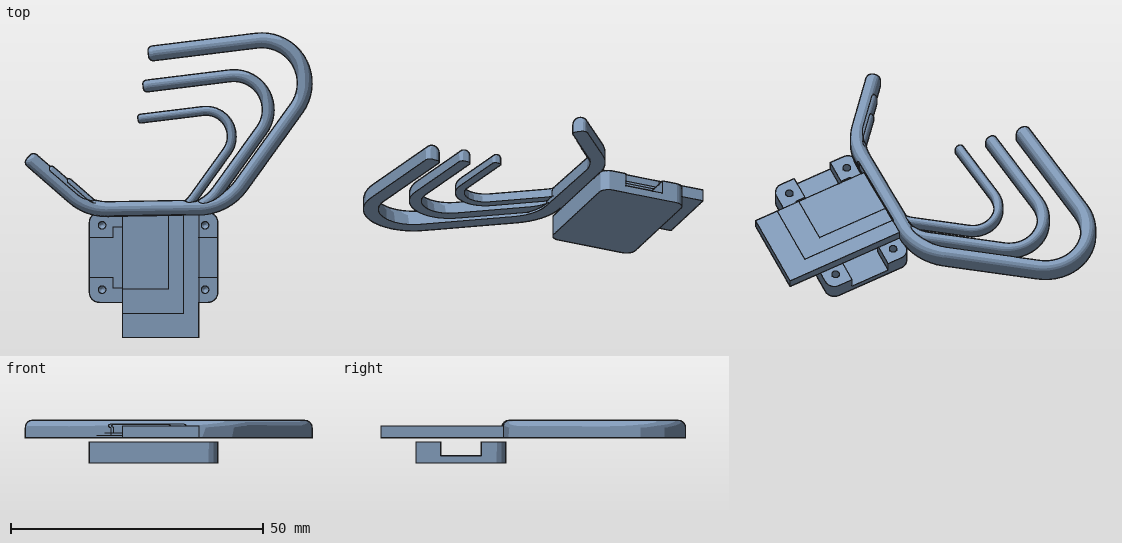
import cadquery as cq
import math


HOOK_SCALES = [1.0, 0.8, 0.6]
PLATE_WIDTH = 15.2
PLATE_LENGTH = 24.0
PLATE_THICKNESS = 2.4
ROD_WIDTH = 3.0
ROD_HEIGHT = 3.5
ROD_RADIUS = ROD_WIDTH / 2
ROD_END_FILLET = 1.0

ARM_DIRECTION = -41.0
ARM_LENGTH = 12.0
ARM_BEND_RADIUS = 10.0
STRAIGHT_DIRECTION = 1.0
STRAIGHT_START_X = -2.87
LOWER_BEND_RADIUS = 10.5
DIAGONAL_DIRECTION = 54.3
DIAGONAL_LENGTH = 18.87
UPPER_BEND_RADIUS = 8.5
FINGER_DIRECTION = 187.0
FINGER_LENGTH = 21.65

BASE_LENGTH = 25.5
BASE_WIDTH = 17.85
BASE_HEIGHT = 4.2
BASE_CORNER_RADIUS = 2.0
BASE_CENTRE_X = 6.2
BASE_CENTRE_Y = -8.12
BASE_GAP = 0.8
FLOOR_THICKNESS = 1.5
SLOT_WIDTH = 8.0
POCKET_LENGTH = 16.0
POCKET_WIDTH = 12.0
HOLE_DIAMETER = 1.5
HOLE_MARGIN = 2.55
HOLE_DEPTH = 3.0
DRILL_POINT_ANGLE = 118.0

ROD_BOTTOM = -PLATE_THICKNESS
BASE_BOTTOM = ROD_BOTTOM - BASE_GAP - BASE_HEIGHT


def heading(degrees):
    """Unit vector in plan at an angle from +X."""
    return cq.Vector(math.cos(math.radians(degrees)), math.sin(math.radians(degrees)), 0)


def left_bend(point, point_direction, start_direction, end_direction, radius):
    """Arc that turns left between two directions and passes the point along point_direction."""
    centre = point + heading(point_direction + 90) * radius
    middle_direction = (start_direction + end_direction) / 2
    start, middle, end = [
        centre + heading(direction - 90) * radius
        for direction in (start_direction, middle_direction, end_direction)
    ]
    return cq.Edge.makeThreePointArc(start, middle, end)


def straight_point(x):
    """Point of the straight stretch, whose front side passes through the origin corner."""
    front_offset = ROD_RADIUS / math.cos(math.radians(STRAIGHT_DIRECTION))
    y = front_offset + x * math.tan(math.radians(STRAIGHT_DIRECTION))
    return cq.Vector(x, y, ROD_BOTTOM)


def rod_path():
    """Centre line at the rod's bottom, with its two tips."""
    straight_start = straight_point(STRAIGHT_START_X)
    straight_end = straight_point(PLATE_WIDTH)
    straight = cq.Edge.makeLine(straight_start, straight_end)

    arm_bend = left_bend(
        straight_start, STRAIGHT_DIRECTION, ARM_DIRECTION, STRAIGHT_DIRECTION, ARM_BEND_RADIUS
    )
    arm_end = arm_bend.startPoint()
    arm_tip = arm_end - heading(ARM_DIRECTION) * ARM_LENGTH
    arm = cq.Edge.makeLine(arm_tip, arm_end)

    lower_bend = left_bend(
        straight_end, STRAIGHT_DIRECTION, STRAIGHT_DIRECTION, DIAGONAL_DIRECTION, LOWER_BEND_RADIUS
    )
    diagonal_start = lower_bend.endPoint()
    diagonal_end = diagonal_start + heading(DIAGONAL_DIRECTION) * DIAGONAL_LENGTH
    diagonal = cq.Edge.makeLine(diagonal_start, diagonal_end)

    upper_bend = left_bend(
        diagonal_end, DIAGONAL_DIRECTION, DIAGONAL_DIRECTION, FINGER_DIRECTION, UPPER_BEND_RADIUS
    )
    finger_start = upper_bend.endPoint()
    finger_tip = finger_start + heading(FINGER_DIRECTION) * FINGER_LENGTH
    finger = cq.Edge.makeLine(finger_start, finger_tip)

    path = cq.Wire.assembleEdges([arm, arm_bend, straight, lower_bend, diagonal, upper_bend, finger])
    return path, arm_tip, finger_tip


def rounded_end(rod, tip):
    """Rounds the sides and top of the end face at a tip, leaving its bottom edge sharp."""
    face_centre = tip + cq.Vector(0, 0, ROD_HEIGHT / 2)
    end_face = rod.faces(cq.selectors.NearestToPointSelector(face_centre.toTuple()))
    return rod.newObject(end_face.edges("not(<Z)").vals()).fillet(ROD_END_FILLET)


def make_rod():
    """Bent rod with a flat bottom, straight sides and a half-round top."""
    path, arm_tip, finger_tip = rod_path()
    side_height = ROD_HEIGHT - ROD_RADIUS
    section_plane = cq.Plane(
        origin=arm_tip.toTuple(),
        xDir=heading(ARM_DIRECTION + 90).toTuple(),
        normal=heading(ARM_DIRECTION).toTuple(),
    )
    rod = (
        cq.Workplane(section_plane)
        .moveTo(-ROD_RADIUS, 0)
        .lineTo(ROD_RADIUS, 0)
        .lineTo(ROD_RADIUS, side_height)
        .threePointArc((0, ROD_HEIGHT), (-ROD_RADIUS, side_height))
        .close()
        .sweep(cq.Workplane(path))
    )
    for tip in (arm_tip, finger_tip):
        rod = rounded_end(rod, tip)
    return rod


def make_hook():
    """Full-size hook: the plate runs into the rod as far as the rod's centre."""
    plate = cq.Workplane("XY", origin=(0, -PLATE_LENGTH, -PLATE_THICKNESS)).box(
        PLATE_WIDTH, PLATE_LENGTH + ROD_RADIUS, PLATE_THICKNESS, centered=False
    )
    return make_rod().union(plate)


def make_nested_hooks():
    """Hooks from large to small, each one recessed for the smaller hooks that lie in it."""
    full_hook = make_hook().val()
    whole_hooks = [cq.Workplane(full_hook.scale(scale)) for scale in HOOK_SCALES]
    nested_hooks = []
    for index, hook in enumerate(whole_hooks):
        for smaller_hook in whole_hooks[index + 1:]:
            hook = hook.cut(smaller_hook)
        nested_hooks.extend(hook.solids().vals())
    return nested_hooks


def make_base():
    """Rounded block with a slot along X, a wider central pocket on the same floor and four blind holes."""
    base_plane = cq.Workplane("XY", origin=(BASE_CENTRE_X, BASE_CENTRE_Y, BASE_BOTTOM))
    base = base_plane.rect(BASE_LENGTH, BASE_WIDTH).extrude(BASE_HEIGHT)
    base = base.edges("|Z").fillet(BASE_CORNER_RADIUS)
    floor = base_plane.workplane(offset=FLOOR_THICKNESS)
    base = base.cut(floor.rect(BASE_LENGTH, SLOT_WIDTH).extrude(BASE_HEIGHT))
    base = base.cut(floor.rect(POCKET_LENGTH, POCKET_WIDTH).extrude(BASE_HEIGHT))

    radius = HOLE_DIAMETER / 2
    point_depth = radius / math.tan(math.radians(DRILL_POINT_ANGLE / 2))
    drill = (
        cq.Workplane("XZ")
        .polyline([(0, 0), (radius, 0), (radius, -HOLE_DEPTH), (0, -HOLE_DEPTH - point_depth)])
        .close()
        .revolve(360, (0, 0, 0), (0, 1, 0))
    )
    hole_x = BASE_LENGTH / 2 - HOLE_MARGIN
    hole_y = BASE_WIDTH / 2 - HOLE_MARGIN
    base_top = BASE_BOTTOM + BASE_HEIGHT
    for side_x in (-1, 1):
        for side_y in (-1, 1):
            x = BASE_CENTRE_X + side_x * hole_x
            y = BASE_CENTRE_Y + side_y * hole_y
            base = base.cut(drill.translate((x, y, base_top)))
    return base


hooks = make_nested_hooks()
base = make_base()

result = cq.Compound.makeCompound([*hooks, base.val()])